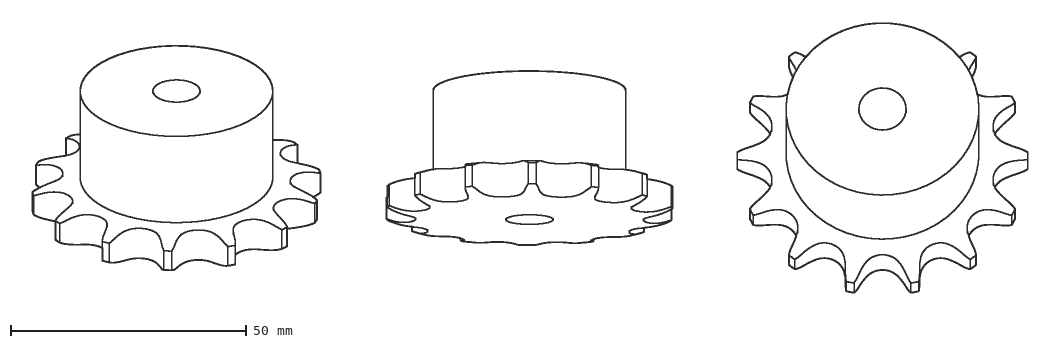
import math
import cadquery as cq

tooth_count = 14
tip_diameter = 61.8
pitch_diameter = 57.05
roller_diameter = 8.5
roller_clearance = 0.04
plate_thickness = 7.2
flat_radius = 25.2
tooth_side_drop = 1.3
hub_diameter = 41.0
total_height = 28.0
bore_diameter = 10.0

tip_radius = tip_diameter / 2
pitch_radius = pitch_diameter / 2

half_pitch_angle = 180 / tooth_count
seating_end_angle = 35 + 60 / tooth_count
working_arc_angle = 18 - 56 / tooth_count
flank_angle = seating_end_angle - working_arc_angle

seating_radius = 0.5025 * roller_diameter + roller_clearance
working_center_distance = 0.8 * roller_diameter
working_radius = seating_radius + working_center_distance
topping_center_distance = 1.4 * roller_diameter


def polar(center, radius, degrees):
    angle = math.radians(degrees)
    return (center[0] + radius * math.cos(angle), center[1] + radius * math.sin(angle))


def mirrored(point):
    return (-point[0], point[1])


def gap_cutter():
    """Space between two teeth, centred on the +Y axis."""
    roller_center = (0, pitch_radius)
    working_center = polar(roller_center, working_center_distance, 180 - seating_end_angle)
    topping_center = polar(roller_center, topping_center_distance, -half_pitch_angle)

    root = polar(roller_center, seating_radius, -90)
    seating_end = polar(roller_center, seating_radius, -seating_end_angle)
    working_middle = polar(working_center, working_radius, -(seating_end_angle + flank_angle) / 2)
    working_end = polar(working_center, working_radius, -flank_angle)

    flank_direction = math.radians(90 - flank_angle)
    offset_x = topping_center[0] - working_center[0]
    offset_y = topping_center[1] - working_center[1]
    flank_length = offset_x * math.cos(flank_direction) + offset_y * math.sin(flank_direction)
    flank_end = polar(working_end, flank_length, 90 - flank_angle)
    topping_radius = math.dist(topping_center, flank_end)

    topping_distance = math.hypot(*topping_center)
    topping_direction = math.degrees(math.atan2(topping_center[1], topping_center[0]))
    squares = topping_distance**2 + tip_radius**2 - topping_radius**2
    tip_offset_angle = math.degrees(math.acos(squares / (2 * topping_distance * tip_radius)))
    tip = polar((0, 0), tip_radius, topping_direction + tip_offset_angle)

    tip_direction = math.degrees(math.atan2(tip[1] - topping_center[1], tip[0] - topping_center[0]))
    topping_middle = polar(topping_center, topping_radius, (180 - flank_angle + tip_direction) / 2)
    outside = (tip[0], tip_radius + roller_diameter)

    return (
        cq.Workplane("XY")
        .moveTo(*seating_end)
        .threePointArc(root, mirrored(seating_end))
        .threePointArc(mirrored(working_middle), mirrored(working_end))
        .lineTo(*mirrored(flank_end))
        .threePointArc(mirrored(topping_middle), mirrored(tip))
        .lineTo(*mirrored(outside))
        .lineTo(*outside)
        .lineTo(*tip)
        .threePointArc(topping_middle, flank_end)
        .lineTo(*working_end)
        .threePointArc(working_middle, seating_end)
        .close()
        .extrude(plate_thickness)
    )


def plate_blank():
    """Disc whose rim narrows along arcs tangent to both flat faces."""
    rim_width = tip_radius - flat_radius
    side_radius = (rim_width**2 + tooth_side_drop**2) / (2 * tooth_side_drop)
    middle_x = flat_radius + rim_width / 2
    middle_drop = side_radius - math.sqrt(side_radius**2 - (rim_width / 2) ** 2)
    return (
        cq.Workplane("XZ")
        .lineTo(flat_radius, 0)
        .threePointArc((middle_x, middle_drop), (tip_radius, tooth_side_drop))
        .lineTo(tip_radius, plate_thickness - tooth_side_drop)
        .threePointArc((middle_x, plate_thickness - middle_drop), (flat_radius, plate_thickness))
        .lineTo(0, plate_thickness)
        .close()
        .revolve(360, (0, 0, 0), (0, 1, 0))
    )


sprocket = plate_blank()
gap = gap_cutter()
for index in range(tooth_count):
    gap_angle = index * 360 / tooth_count
    sprocket = sprocket.cut(gap.rotate((0, 0, 0), (0, 0, 1), gap_angle))

hub = cq.Workplane("XY").circle(hub_diameter / 2).extrude(total_height)
bore = cq.Workplane("XY").circle(bore_diameter / 2).extrude(total_height)
result = sprocket.union(hub).cut(bore)